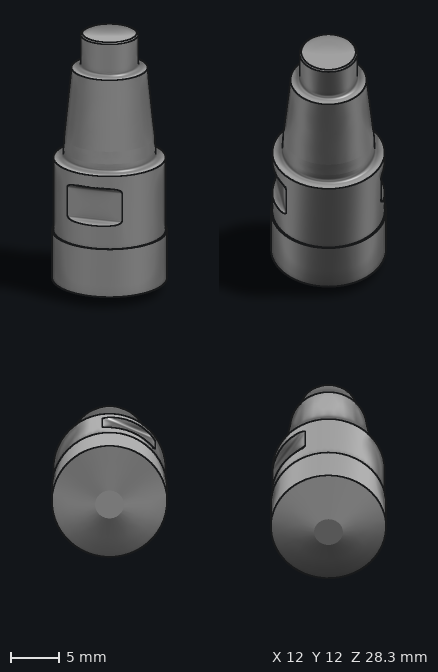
import cadquery as cq
import math

total_height = 28.3
cone_height = 1.22
joint_z = 6.5
shoulder_z = 14.55
neck_top_z = 15.5
taper_start_z = 16.87
taper_top_z = 24.5

cap_diameter = 12.0
cap_tip_diameter = 3.0
shaft_diameter = 11.7
neck_diameter = 9.6
taper_start_diameter = 9.45
taper_top_diameter = 7.92
spigot_diameter = 6.0

root_fillet = 0.48
spigot_chamfer = 0.17

flat_spacing = 10.02
flat_bottom_z = 9.0
flat_top_z = 13.2
flat_fillet = 0.57
flat_end_slope = 10.0


def make_end_cap():
    """Cylindrical cap with a blunt conical bottom."""
    profile = (
        cq.Workplane("XZ")
        .lineTo(cap_tip_diameter / 2, 0)
        .lineTo(cap_diameter / 2, cone_height)
        .lineTo(cap_diameter / 2, joint_z)
        .lineTo(0, joint_z)
        .close()
    )
    return profile.revolve(360, (0, 0, 0), (0, 1, 0))


def make_turned_shaft():
    """Stepped shaft with a conical taper and concave fillets at the step roots."""
    neck_radius = neck_diameter / 2
    start_radius = taper_start_diameter / 2
    top_radius = taper_top_diameter / 2
    spigot_radius = spigot_diameter / 2

    profile = (
        cq.Workplane("XZ")
        .moveTo(0, joint_z)
        .lineTo(shaft_diameter / 2, joint_z)
        .lineTo(shaft_diameter / 2, shoulder_z)
        .lineTo(neck_radius + root_fillet, shoulder_z)
        .radiusArc((neck_radius, shoulder_z + root_fillet), root_fillet)
        .lineTo(neck_radius, neck_top_z)
        .lineTo(start_radius, taper_start_z)
        .lineTo(top_radius, taper_top_z)
        .lineTo(spigot_radius + root_fillet, taper_top_z)
        .radiusArc((spigot_radius, taper_top_z + root_fillet), root_fillet)
        .lineTo(spigot_radius, total_height - spigot_chamfer)
        .lineTo(spigot_radius - spigot_chamfer, total_height)
        .lineTo(0, total_height)
        .close()
    )
    return profile.revolve(360, (0, 0, 0), (0, 1, 0))


def make_flat_cutter(side):
    """Prism that cuts one wrench flat; side is -1 for -Y and +1 for +Y."""
    inner_y = flat_spacing / 2
    outer_y = cap_diameter / 2
    shaft_radius = shaft_diameter / 2
    slope = math.tan(math.radians(flat_end_slope))

    inner_offset = (shaft_radius - inner_y) * slope
    outer_offset = (outer_y - shaft_radius) * slope
    return (
        cq.Workplane("YZ")
        .moveTo(side * inner_y, flat_bottom_z + inner_offset)
        .lineTo(side * outer_y, flat_bottom_z - outer_offset)
        .lineTo(side * outer_y, flat_top_z + outer_offset)
        .lineTo(side * inner_y, flat_top_z - inner_offset)
        .close()
        .extrude(shaft_radius, both=True)
        .faces("<Y" if side > 0 else ">Y")
        .edges("|X")
        .fillet(flat_fillet)
    )


end_cap = make_end_cap()

shaft = make_turned_shaft()
for side in (-1, 1):
    shaft = shaft.cut(make_flat_cutter(side))

result = cq.Compound.makeCompound([end_cap.val(), *shaft.vals()])